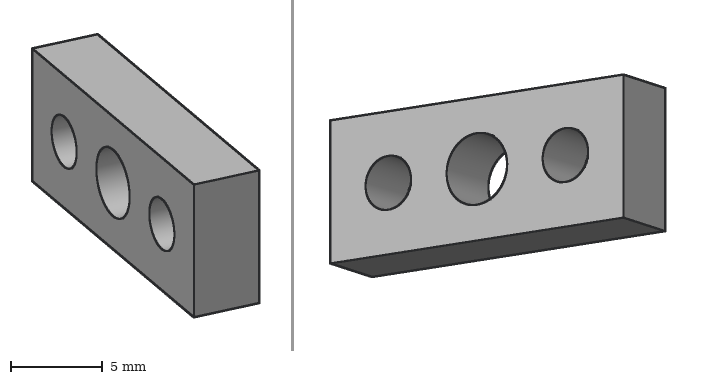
import cadquery as cq

length = 19.4
thickness = 4.0
height = 2 * thickness

center_hole_diameter = 4.0
side_hole_diameter = 3.0
side_hole_offset = 5.85

bar = cq.Workplane("XY").box(length, thickness, height)

bar = bar.faces("<Y").workplane(centerOption="CenterOfBoundBox").hole(center_hole_diameter)

side_hole_centers = [(-side_hole_offset, 0), (side_hole_offset, 0)]
result = (
    bar.faces("<Y")
    .workplane(centerOption="CenterOfBoundBox")
    .pushPoints(side_hole_centers)
    .hole(side_hole_diameter)
)